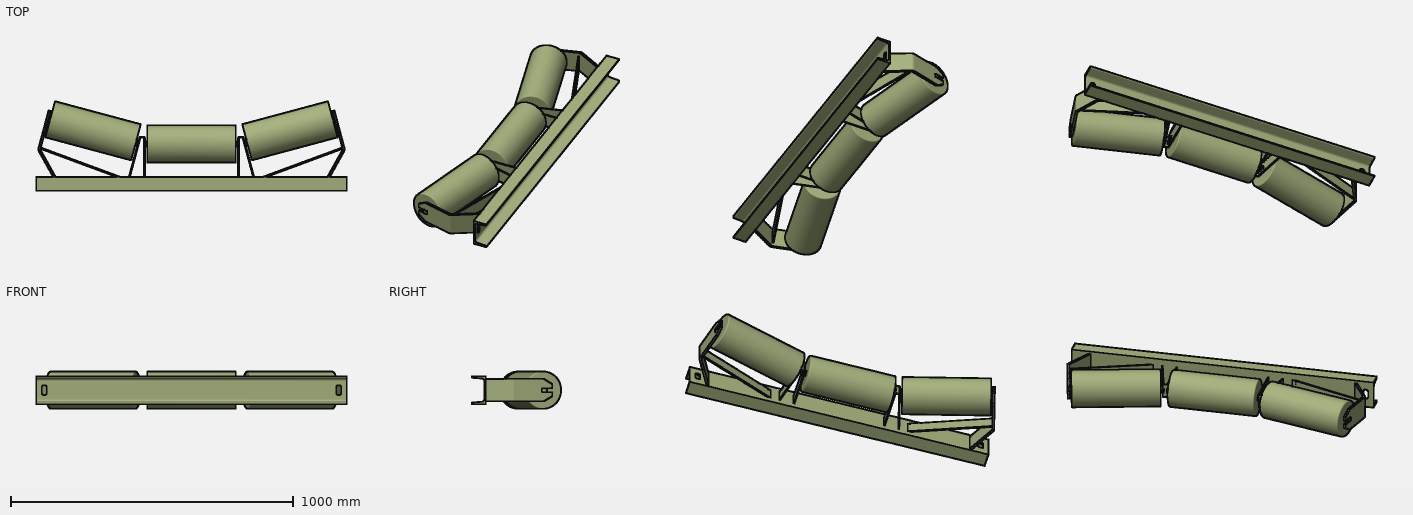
import cadquery as cq
import math


channel_length = 1100.0
channel_height = 100.0
channel_depth = 50.0
web = 6.0
flange_mean = 8.5
flange_slope = 0.08
root_radius = 8.5
toe_radius = 4.5
mount_slot_width = 18.0
mount_slot_length = 36.0
mount_slot_x = 521.0

roller_diameter = 133.0
roller_radius = roller_diameter / 2
roller_length = 315.0
roller_edge_radius = 4.0
trough_angle = 15.0
middle_axis_y = 116.0
side_x = 348.4
overall_depth = 316.84
tilt = math.radians(trough_angle)
side_axis_y = (
    overall_depth
    - channel_depth
    - roller_edge_radius
    - (roller_length / 2 - roller_edge_radius) * math.sin(tilt)
    - (roller_radius - roller_edge_radius) * math.cos(tilt)
)
shaft_radius = 10.0
shaft_flat_width = 14.0
shaft_shoulder = 160.5

inner_seat = 164.5
outer_seat = 163.0
inner_plate = 4.0
inner_width = 50.0
inner_top_y = 142.0
inner_bend_radius = 6.0
outer_plate = 8.0
outer_width = 80.0
outer_tip_rise = 29.0
outer_knee_y = 96.0
outer_foot_x = 484.0
outer_bend_radius = 14.0
tip_cut_rise = 30.0
tip_cut_width = 18.0

brace_plate = 5.0
brace_width = 50.0
brace_foot_x = 252.0
brace_joint_y = 102.5

pick_margin = 0.1
weld_y = -web / 2


def side_roller_point(along, up):
    """Point in the XY plane placed from the centre and axis of the +X side roller."""
    return (
        side_x + along * math.cos(tilt) - up * math.sin(tilt),
        side_axis_y + along * math.sin(tilt) + up * math.cos(tilt),
    )


def side_roller_at_height(along, y):
    """Point at a given Y on the line crossing the +X side roller axis at a place along it."""
    up = (y - side_roller_point(along, 0)[1]) / math.cos(tilt)
    return side_roller_point(along, up)


def at_side_roller(body):
    """Move a body from the X axis to the axis of the +X side roller."""
    return body.rotate((0, 0, 0), (0, 0, 1), trough_angle).translate((side_x, side_axis_y, 0))


def at_middle_roller(body):
    return body.translate((0, middle_axis_y, 0))


def mirrored(body):
    return body.mirror("YZ")


def offset_path(path, distance):
    """Open path shifted sideways by a distance, with mitred corners."""
    units = []
    for (x0, y0), (x1, y1) in zip(path, path[1:]):
        length = math.hypot(x1 - x0, y1 - y0)
        units.append(((x1 - x0) / length, (y1 - y0) / length))
    shifted = []
    for i, (x, y) in enumerate(path):
        ax, ay = units[max(i - 1, 0)]
        bx, by = units[min(i, len(units) - 1)]
        scale = distance / (1 + ax * bx + ay * by)
        shifted.append((x - (ay + by) * scale, y + (ax + bx) * scale))
    return shifted


def plate_strip(path, thickness, width):
    """Folded plate with a given centre path, standing symmetric about Z = 0."""
    outline = offset_path(path, thickness / 2) + offset_path(path, -thickness / 2)[::-1]
    return cq.Workplane("XY").polyline(outline).close().extrude(width / 2, both=True)


def edges_at(y, z):
    """Selector for the two lengthwise channel edges at a given Y and at +Z and -Z."""
    m = pick_margin
    upper = cq.selectors.BoxSelector((-m, y - m, z - m), (m, y + m, z + m))
    lower = cq.selectors.BoxSelector((-m, y - m, -z - m), (m, y + m, -z + m))
    return upper + lower


def make_channel():
    half = channel_height / 2
    toe_z = half - flange_mean + flange_slope * channel_depth / 2
    root_z = toe_z - flange_slope * (channel_depth - web)
    section = (
        cq.Workplane("YZ", origin=(-channel_length / 2, 0, 0))
        .polyline([
            (0, -half), (-channel_depth, -half), (-channel_depth, -toe_z), (-web, -root_z),
            (-web, root_z), (-channel_depth, toe_z), (-channel_depth, half), (0, half),
        ])
        .close()
        .extrude(channel_length)
    )
    channel = section.edges(edges_at(-web, root_z)).fillet(root_radius)
    channel = channel.edges(edges_at(-channel_depth, toe_z)).fillet(toe_radius)
    slots = (
        cq.Workplane("XZ")
        .pushPoints([(-mount_slot_x, 0), (mount_slot_x, 0)])
        .slot2D(mount_slot_length, mount_slot_width, 90)
        .extrude(web)
    )
    return channel.cut(slots)


def make_shaft(start_reach, end_reach):
    """Shaft on the X axis, flattened past its shoulders to sit in the bracket slots."""
    start = -start_reach
    length = start_reach + end_reach
    diameter = 2 * shaft_radius
    rod = cq.Workplane("YZ", origin=(start, 0, 0)).circle(shaft_radius).extrude(length)
    round_zone = (
        cq.Workplane("YZ", origin=(-shaft_shoulder, 0, 0))
        .rect(diameter, diameter)
        .extrude(2 * shaft_shoulder)
    )
    flat_zone = (
        cq.Workplane("YZ", origin=(start, 0, 0))
        .rect(diameter, shaft_flat_width)
        .extrude(length)
    )
    return rod.intersect(round_zone.union(flat_zone))


def make_seat_slot(seat, plate):
    """Open slot at the +X end of a roller, rounded at its bottom to fit the shaft flats."""
    flat_half = shaft_flat_width / 2
    shoulder = -math.sqrt(shaft_radius**2 - flat_half**2)
    return (
        cq.Workplane("YZ", origin=(seat, 0, 0))
        .moveTo(roller_radius, flat_half)
        .lineTo(shoulder, flat_half)
        .threePointArc((-shaft_radius, 0), (shoulder, -flat_half))
        .lineTo(roller_radius, -flat_half)
        .close()
        .extrude(plate)
    )


def make_roller():
    """Roller on the X axis with a bore for its shaft."""
    plane = cq.Workplane("YZ", origin=(-roller_length / 2, 0, 0))
    roller = plane.circle(roller_radius).extrude(roller_length)
    roller = roller.faces("<X or >X").edges().fillet(roller_edge_radius)
    bore = plane.circle(shaft_radius).extrude(roller_length)
    return roller.cut(bore)


def make_outer_bracket():
    """Knee-shaped plate and its brace at the outer end of the +X side roller."""
    along = outer_seat + outer_plate / 2
    tip = side_roller_point(along, outer_tip_rise)
    knee = side_roller_at_height(along, outer_knee_y)
    joint = side_roller_at_height(along, brace_joint_y)
    plate = plate_strip([(outer_foot_x, weld_y), knee, tip], outer_plate, outer_width)

    near_knee = cq.selectors.BoxSelector(
        (knee[0] - outer_plate, knee[1] - outer_plate, -pick_margin),
        (knee[0] + outer_plate, knee[1] + outer_plate, pick_margin),
    )
    plate = plate.edges(near_knee).edges(">X").fillet(outer_bend_radius)
    plate = plate.edges("|Z").edges(near_knee).edges("<X").fillet(outer_bend_radius - outer_plate)

    edge = outer_width / 2
    corner = (
        cq.Workplane("YZ", origin=(outer_seat, 0, 0))
        .polyline([
            (outer_tip_rise, edge),
            (outer_tip_rise - tip_cut_rise, edge),
            (outer_tip_rise, edge - tip_cut_width),
        ])
        .close()
        .extrude(outer_plate)
    )
    slot = make_seat_slot(outer_seat, outer_plate)
    plate = plate.cut(at_side_roller(corner.union(corner.mirror("XY")).union(slot)))
    brace = plate_strip([(brace_foot_x, weld_y), joint], brace_plate, brace_width)
    return plate.union(brace)


def make_inner_bracket():
    """Folded plate between the middle roller and the +X side roller."""
    middle_leg_x = inner_seat + inner_plate / 2
    top_y = inner_top_y - inner_plate / 2
    along = -inner_seat - inner_plate / 2
    path = [
        (middle_leg_x, weld_y),
        (middle_leg_x, top_y),
        side_roller_at_height(along, top_y),
        side_roller_at_height(along, weld_y),
    ]
    plate = plate_strip(path, inner_plate, inner_width)
    plate = plate.faces(">Y").edges("|Z").fillet(inner_bend_radius)
    underside = inner_top_y - inner_plate
    bend_insides = cq.selectors.BoxSelector(
        (0, underside - pick_margin, -pick_margin),
        (channel_length / 2, underside + pick_margin, pick_margin),
    )
    plate = plate.edges("|Z").edges(bend_insides).fillet(inner_bend_radius - inner_plate)
    slot = make_seat_slot(inner_seat, inner_plate)
    return plate.cut(at_middle_roller(slot)).cut(at_side_roller(mirrored(slot)))


def make_frame():
    """Channel with the brackets and braces of both sides welded on."""
    brackets = make_outer_bracket().union(make_inner_bracket())
    return make_channel().union(brackets).union(mirrored(brackets))


frame = make_frame()
roller = make_roller()
inner_face = inner_seat + inner_plate
outer_face = outer_seat + outer_plate
middle_shaft = make_shaft(inner_face, inner_face)
side_shaft = make_shaft(inner_face, outer_face)

bodies = [frame.val()]
for part in (roller, middle_shaft):
    bodies.append(at_middle_roller(part).val())
for part in (roller, side_shaft):
    placed = at_side_roller(part)
    bodies.append(placed.val())
    bodies.append(mirrored(placed).val())

result = cq.Compound.makeCompound(bodies)